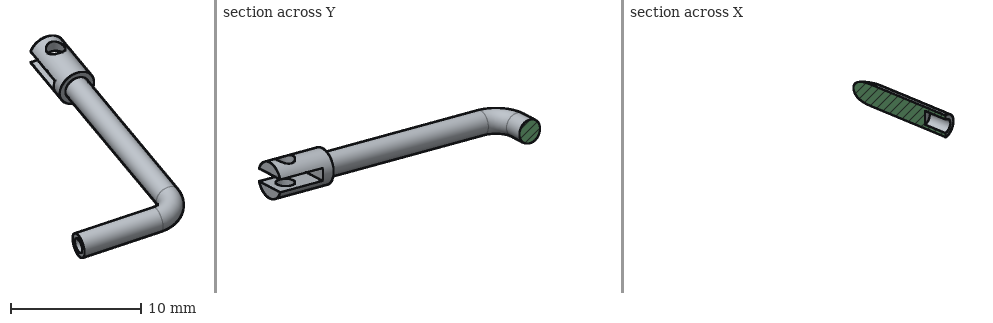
import cadquery as cq

overall_length = 23.0
head_diameter = 3.0
head_length = 5.0
slot_width = 1.05
slot_depth = 4.0
cross_hole_diameter = 1.5
cross_hole_x = 1.5
rod_diameter = 2.0
bend_radius = 2.0
leg_reach = 8.8
bore_diameter = 1.2
bore_depth = 2.0

leg_x = overall_length - rod_diameter / 2
bend_start_x = leg_x - bend_radius


def make_head():
    """Round head, slotted at its free end and cross-drilled along Z."""
    head = cq.Workplane("YZ").circle(head_diameter / 2).extrude(head_length)
    slot = cq.Workplane("XY").box(
        slot_depth, head_diameter, slot_width, centered=(False, True, True)
    )
    cross_hole = (
        cq.Workplane("XY")
        .center(cross_hole_x, 0)
        .circle(cross_hole_diameter / 2)
        .extrude(head_diameter, both=True)
    )
    return head.cut(slot).cut(cross_hole)


def make_rod():
    """Round rod swept from the head through a right-angle bend."""
    path = (
        cq.Workplane("XY")
        .moveTo(head_length, 0)
        .lineTo(bend_start_x, 0)
        .tangentArcPoint((leg_x, -bend_radius), relative=False)
        .lineTo(leg_x, -leg_reach)
    )
    profile = cq.Workplane("YZ", origin=(head_length, 0, 0)).circle(rod_diameter / 2)
    return profile.sweep(path)


def make_bore():
    """Blind bore in the free end of the short leg."""
    return (
        cq.Workplane("XZ", origin=(leg_x, -leg_reach, 0))
        .circle(bore_diameter / 2)
        .extrude(-bore_depth)
    )


result = make_head().union(make_rod()).cut(make_bore())